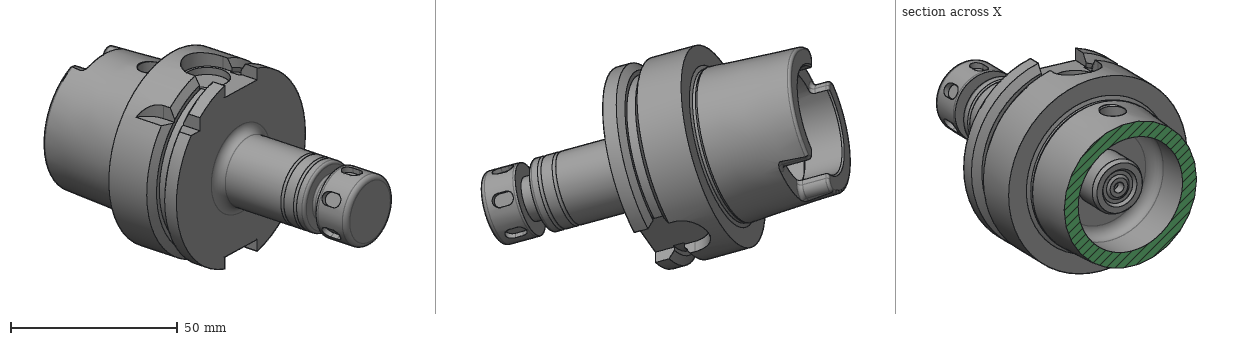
import cadquery as cq
import math


total_length = 107.0
taper_end_x = 30.0
flange_x = 32.0
flange_end_x = 57.8
nose_end_x = 91.0
nut_x = 95.3

taper_tip_radius = 22.8
taper_base_radius = 24.3
relief_radius = 24.0
relief_lead = 0.6
relief_corner_run = 0.4
relief_corner_radius = 25.3
rim_round = 1.0

bore_radius = 17.0
clamp_shoulder_x = 12.6
clamp_shoulder_angle = 60
clamp_chamber_radius = 19.5
bore_mouth_radius = 17.5
bore_floor_x = 30.0
bore_floor_round = 3.9
stud_x = 19.5
stud_radius = 8.8
stud_chamfer_run = 1.5
stud_chamfer_rise = 0.7
socket_mouth_diameter = 12.1
socket_mouth_radius = socket_mouth_diameter / 2
socket_floor_radius = 5.2
socket_depth = 1.1
pip_diameter = 8.0
pip_radius = pip_diameter / 2
pip_tip_radius = 3.1
pip_height = 0.6
centre_hole_radius = 1.7
centre_hole_depth = 3.2
centre_hole_tip_radius = 0.9

drive_slot_half_width = 6.0
drive_slot_flare_z = 17.8
drive_slot_flare_radius = 3.0
drive_slot_depth_top = 5.9
drive_slot_depth_bottom = 10.0
drive_slot_floor_round = 1.4

access_hole_x = 23.3
access_hole_diameter = 8.0
access_hole_mouth_diameter = 8.8

flange_diameter = 63.0
flange_radius = flange_diameter / 2
groove_floor_radius = 27.5
groove_shoulder_radius = 28.9
groove_centre_x = 49.9
groove_floor_half_width = 1.7
groove_mouth_half_width = 3.4

keyway_floor_z = 26.5
keyway_half_width = 7.9
keyway_x = 36.9
chip_pocket_diameter = 14.0
chip_pocket_depth = 2.4
notch_corner = 20.0
notch_x = 36.0

nose_diameter = 23.0
nose_radius = nose_diameter / 2
nose_root_round = 3.0
nose_end_round = 1.0
nose_groove_starts = (82.0, 86.8)
nose_groove_width = 1.2
nose_groove_depth = 0.3
neck_diameter = 14.0
neck_radius = neck_diameter / 2
neck_root_round = 0.6
nut_lead_run = 0.7
nut_lead_rise = 0.1
nut_end_round = 1.6
nut_slot_count = 6
nut_slot_x = 100.0
nut_slot_length = 6.8
nut_slot_width = 4.4
nut_slot_floor_radius = 9.6


def revolve_about_x(profile):
    """Close an outline of (x, radius) points and spin it about the X axis."""
    return profile.close().revolve(360, (0, 0, 0), (1, 0, 0))


def quarter_arc(outline, start, end, centre, radius):
    """Add a quarter arc from start to end about the given (x, radius) centre."""
    mid_x = (start[0] + end[0]) / 2 - centre[0]
    mid_r = (start[1] + end[1]) / 2 - centre[1]
    reach = radius / math.hypot(mid_x, mid_r)
    middle = (centre[0] + mid_x * reach, centre[1] + mid_r * reach)
    return outline.threePointArc(middle, end)


def make_shank():
    """Taper, drive slots and rounded rim."""
    shank = revolve_about_x(
        cq.Workplane("XY")
        .moveTo(0, 0)
        .lineTo(0, taper_tip_radius)
        .lineTo(taper_end_x, taper_base_radius)
        .lineTo(taper_end_x + relief_lead, relief_radius)
        .lineTo(flange_x - relief_corner_run, relief_radius)
        .lineTo(flange_x, relief_corner_radius)
        .lineTo(flange_x, 0)
    )
    shank = shank.cut(make_drive_slot(drive_slot_depth_top, 1))
    shank = shank.cut(make_drive_slot(drive_slot_depth_bottom, -1))
    return shank.faces("<X").edges().fillet(rim_round)


def make_drive_slot(depth, side):
    """Cutter for one drive slot: straight walls that flare outward near the rim."""
    half = drive_slot_half_width
    flare = drive_slot_flare_radius
    inset = flare * (1 - math.sqrt(0.5))
    flare_top = drive_slot_flare_z + flare
    outside = flange_radius
    slot = (
        cq.Workplane("YZ")
        .moveTo(-half, 0)
        .lineTo(half, 0)
        .lineTo(half, drive_slot_flare_z)
        .threePointArc((half + inset, flare_top - inset), (half + flare, flare_top))
        .lineTo(outside, flare_top)
        .lineTo(outside, outside)
        .lineTo(-outside, outside)
        .lineTo(-outside, flare_top)
        .lineTo(-half - flare, flare_top)
        .threePointArc((-half - inset, flare_top - inset), (-half, drive_slot_flare_z))
        .close()
        .extrude(depth)
    )
    edge_margin = 0.1
    wall_edges = cq.selectors.BoxSelector(
        (depth - edge_margin, -half - flare, edge_margin),
        (depth + edge_margin, half + flare, flare_top),
    )
    slot = slot.edges(wall_edges).fillet(drive_slot_floor_round)
    return slot if side > 0 else slot.mirror("XY")


def make_bore():
    """Cutter for the bore and clamping chamber, leaving the stud and its stepped socket standing."""
    mouth_chamfer = bore_mouth_radius - bore_radius
    shoulder_rise = clamp_chamber_radius - bore_radius
    shoulder_run = shoulder_rise / math.tan(math.radians(clamp_shoulder_angle))
    floor_round_r = clamp_chamber_radius - bore_floor_round
    floor_round_x = bore_floor_x - bore_floor_round
    socket_x = stud_x + socket_depth
    pip_x = socket_x - pip_height
    outline = (
        cq.Workplane("XY")
        .moveTo(0, 0)
        .lineTo(0, bore_mouth_radius)
        .lineTo(mouth_chamfer, bore_radius)
        .lineTo(clamp_shoulder_x, bore_radius)
        .lineTo(clamp_shoulder_x + shoulder_run, clamp_chamber_radius)
        .lineTo(floor_round_x, clamp_chamber_radius)
    )
    outline = quarter_arc(
        outline,
        (floor_round_x, clamp_chamber_radius),
        (bore_floor_x, floor_round_r),
        (floor_round_x, floor_round_r),
        bore_floor_round,
    )
    return revolve_about_x(
        outline.lineTo(bore_floor_x, stud_radius)
        .lineTo(stud_x + stud_chamfer_run, stud_radius)
        .lineTo(stud_x, stud_radius - stud_chamfer_rise)
        .lineTo(stud_x, socket_mouth_radius)
        .lineTo(socket_x, socket_floor_radius)
        .lineTo(socket_x, pip_radius)
        .lineTo(pip_x, pip_tip_radius)
        .lineTo(pip_x, centre_hole_radius)
        .lineTo(pip_x + centre_hole_depth, centre_hole_radius)
        .lineTo(pip_x + centre_hole_depth, centre_hole_tip_radius)
        .lineTo(pip_x + centre_hole_depth + centre_hole_tip_radius, 0)
    )


def make_access_hole():
    """Radial hole through the upper wall, countersunk at the taper surface."""
    radius = access_hole_diameter / 2
    mouth_radius = access_hole_mouth_diameter / 2
    slope = (taper_base_radius - taper_tip_radius) / taper_end_x
    surface_z = taper_tip_radius + slope * access_hole_x
    countersink_z = surface_z - (mouth_radius - radius)
    bottom_z = (stud_radius + bore_radius) / 2
    return (
        cq.Workplane("XZ", origin=(access_hole_x, 0, 0))
        .moveTo(0, bottom_z)
        .lineTo(radius, bottom_z)
        .lineTo(radius, countersink_z)
        .lineTo(mouth_radius, surface_z)
        .lineTo(mouth_radius, flange_radius)
        .lineTo(0, flange_radius)
        .close()
        .revolve(360, (0, 0, 0), (0, 1, 0))
    )


def make_flange():
    """Flange disc with gripper groove, keyways, chip pocket and notch."""
    floor_start = groove_centre_x - groove_floor_half_width
    floor_end = groove_centre_x + groove_floor_half_width
    flange = revolve_about_x(
        cq.Workplane("XY")
        .moveTo(flange_x, 0)
        .lineTo(flange_x, flange_radius)
        .lineTo(groove_centre_x - groove_mouth_half_width, flange_radius)
        .lineTo(floor_start, groove_shoulder_radius)
        .lineTo(floor_start, groove_floor_radius)
        .lineTo(floor_end, groove_floor_radius)
        .lineTo(floor_end, groove_shoulder_radius)
        .lineTo(groove_centre_x + groove_mouth_half_width, flange_radius)
        .lineTo(flange_end_x, flange_radius)
        .lineTo(flange_end_x, 0)
    )
    keyway = make_end_milled_slot(keyway_x, 0, keyway_floor_z)
    notch = make_end_milled_slot(notch_x, -notch_corner - keyway_half_width, notch_corner)
    chip_pocket = (
        cq.Workplane("XY", origin=(keyway_x + keyway_half_width, 0, keyway_floor_z))
        .circle(chip_pocket_diameter / 2)
        .extrude(-chip_pocket_depth)
    )
    return flange.cut(keyway).cut(keyway.mirror("XY")).cut(chip_pocket).cut(notch)


def make_end_milled_slot(start_x, centre_y, floor_z):
    """Cutter along X with a round start, open at the nose side of the flange."""
    centre_x = start_x + keyway_half_width
    height = flange_radius - floor_z
    base = cq.Workplane("XY", origin=(centre_x, centre_y, floor_z))
    run = flange_end_x - centre_x
    round_end = base.circle(keyway_half_width).extrude(height)
    channel = base.center(run / 2, 0).rect(run, 2 * keyway_half_width).extrude(height)
    return round_end.union(channel)


def make_nose():
    """Nose, neck and nut turned as one body, with wrench slots in the nut."""
    root_x = flange_end_x + nose_root_round
    root_r = nose_radius + nose_root_round
    end_round_x = nose_end_x - nose_end_round
    end_round_r = nose_radius - nose_end_round
    neck_x = nose_end_x + neck_root_round
    neck_root_r = neck_radius + neck_root_round
    nut_round_x = total_length - nut_end_round
    nut_round_r = nose_radius - nut_end_round

    outline = cq.Workplane("XY").moveTo(flange_end_x, 0).lineTo(flange_end_x, root_r)
    outline = quarter_arc(
        outline, (flange_end_x, root_r), (root_x, nose_radius), (root_x, root_r), nose_root_round
    )
    for start in nose_groove_starts:
        groove_bottom = (start + nose_groove_width / 2, nose_radius - nose_groove_depth)
        groove_end = (start + nose_groove_width, nose_radius)
        outline = outline.lineTo(start, nose_radius).threePointArc(groove_bottom, groove_end)
    outline = outline.lineTo(end_round_x, nose_radius)
    outline = quarter_arc(
        outline,
        (end_round_x, nose_radius),
        (nose_end_x, end_round_r),
        (end_round_x, end_round_r),
        nose_end_round,
    )
    outline = outline.lineTo(nose_end_x, neck_root_r)
    outline = quarter_arc(
        outline, (nose_end_x, neck_root_r), (neck_x, neck_radius), (neck_x, neck_root_r), neck_root_round
    )
    outline = (
        outline.lineTo(nut_x, neck_radius)
        .lineTo(nut_x, nose_radius - nut_lead_rise)
        .lineTo(nut_x + nut_lead_run, nose_radius)
        .lineTo(nut_round_x, nose_radius)
    )
    outline = quarter_arc(
        outline,
        (nut_round_x, nose_radius),
        (total_length, nut_round_r),
        (nut_round_x, nut_round_r),
        nut_end_round,
    )
    nose = revolve_about_x(outline.lineTo(total_length, 0))
    return cut_nut_slots(nose)


def cut_nut_slots(nose):
    """Cut the ring of flat-bottomed wrench slots into the nut."""
    slot = (
        cq.Workplane("XY", origin=(nut_slot_x, 0, nut_slot_floor_radius))
        .slot2D(nut_slot_length, nut_slot_width)
        .extrude(nose_radius - nut_slot_floor_radius)
    )
    for index in range(nut_slot_count):
        angle = index * 360 / nut_slot_count
        nose = nose.cut(slot.rotate((0, 0, 0), (1, 0, 0), angle))
    return nose


shank = make_shank().cut(make_bore()).cut(make_access_hole())
result = shank.union(make_flange()).union(make_nose())